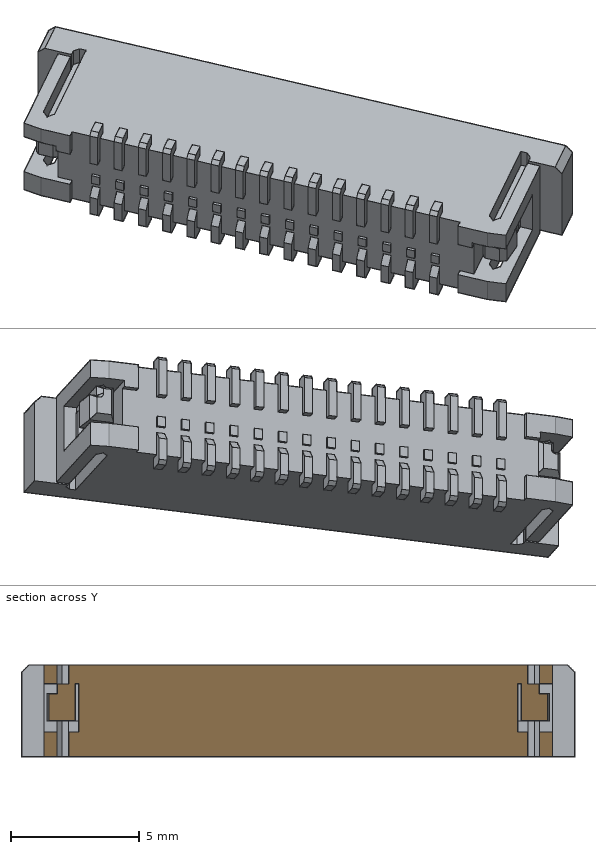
import cadquery as cq
import math


length = 21.6
height = 3.59
flange_depth = 1.3
flange_chamfer = 0.28
body_inset = 0.86
body_front = 5.45

ear_front = 5.68
ear_width = 1.95
ear_bevel_width = 0.73
ear_bevel_depth = 0.1
upper_ear_bottom = 2.6

slot_inset = 1.38
slot_width = 0.45
slot_rear = 0.89
slot_corner = 0.2
slot_front = 4.7
slot_tip = 4.95
gap_width = 0.13

window_inner = 2.22
window_rear = 2.33
window_bottom = 0.97
window_top = 2.85

arm_bottom = 1.4
arm_inner = 2.1
wing_top = 2.46
wing_rear = 3.85
wing_rear_inset = 1.0
wing_front_inset = 1.1
nose_base = 4.75
nose_front = 5.08
nose_taper = 0.2
bump_inset = 1.23
bump_rear = 2.4
bump_flat_rear = 2.7
bump_flat_front = 2.95
bump_front = 3.1

tail_count = 15
row_length = 14.0
tail_pitch = row_length / (tail_count - 1)
tail_width = 0.32
tail_front = 5.75
tail_rear = 5.08
tail_rise = 0.45
tail_chamfer = 0.15
upper_tail_bottom = 2.42
lower_tail_shoulder = 0.58
lower_tail_top = 0.93
pad_bottom = 1.17
pad_top = 1.58
pad_front = 5.55

left_end = -length / 2


def left_block(inset_a, inset_b, depth_a, depth_b, z_a, z_b):
    """Box near the left end, given by insets from that end, depths and heights."""
    size = (inset_b - inset_a, depth_b - depth_a, z_b - z_a)
    return cq.Workplane("XY").box(*size, centered=False).translate((left_end + inset_a, -depth_b, z_a))


def left_prism(points, z_a, z_b):
    """Upright prism near the left end from (inset, depth) plan points."""
    plan = [(left_end + inset, -depth) for inset, depth in points]
    return cq.Workplane("XY").workplane(offset=z_a).polyline(plan).close().extrude(z_b - z_a)


def with_mirror(solid):
    """The left-hand feature together with its right-hand twin."""
    return solid.union(solid.mirror("YZ"))


def make_housing():
    flange = (
        cq.Workplane("XY")
        .box(length, flange_depth, height, centered=False)
        .translate((left_end, -flange_depth, 0))
        .edges("|Y and >Z")
        .chamfer(flange_chamfer)
    )
    body = left_block(body_inset, length - body_inset, 0, body_front, 0, height)
    return flange.union(body)


def make_ear():
    ear_inner = body_inset + ear_width
    ear = left_prism(
        [
            (body_inset, slot_tip),
            (body_inset, ear_front - ear_bevel_depth),
            (body_inset + ear_bevel_width, ear_front),
            (ear_inner, ear_front),
            (ear_inner, slot_tip),
        ],
        0,
        height,
    )
    opening = left_block(0, ear_inner, body_front, ear_front, window_bottom, upper_ear_bottom)
    return ear.cut(opening)


def make_slot():
    slot_inner = slot_inset + slot_width
    return left_prism(
        [
            (slot_inset, slot_rear + slot_corner),
            (slot_inset + slot_corner, slot_rear),
            (slot_inner, slot_rear),
            (slot_inner, slot_front),
            (slot_inset + slot_width / 2, slot_tip),
            (slot_inset, slot_front),
        ],
        0,
        height,
    )


def make_latch_arm():
    strip = make_slot().intersect(left_block(0, window_inner, 0, nose_base, arm_bottom, window_top))
    root = left_block(slot_inset, window_inner, window_rear, wing_rear, arm_bottom, window_top)
    tongue = left_block(slot_inset, arm_inner, wing_rear, nose_base, arm_bottom, window_top)
    wing = left_prism(
        [
            (slot_inset, wing_rear),
            (wing_rear_inset, wing_rear),
            (wing_front_inset, nose_base),
            (slot_inset, nose_base),
        ],
        arm_bottom,
        wing_top,
    )
    bump = left_prism(
        [
            (slot_inset, bump_rear),
            (bump_inset, bump_flat_rear),
            (bump_inset, bump_flat_front),
            (slot_inset, bump_front),
        ],
        arm_bottom,
        wing_top,
    )
    nose_outline = [
        (left_end + wing_front_inset, arm_bottom),
        (left_end + arm_inner, arm_bottom),
        (left_end + arm_inner, window_top),
        (left_end + slot_inset, window_top),
        (left_end + slot_inset, wing_top),
        (left_end + wing_front_inset, wing_top),
    ]
    nose_length = nose_front - nose_base
    nose = (
        cq.Workplane("XZ", origin=(0, -nose_base, 0))
        .polyline(nose_outline)
        .close()
        .extrude(nose_length, taper=math.degrees(math.atan2(nose_taper, nose_length)))
    )
    return strip.union(root).union(tongue).union(wing).union(bump).union(nose)


def tail_profile(points):
    """Tail-width plate from (depth, height) points, centred on X = 0."""
    side = [(-depth, z) for depth, z in points]
    return cq.Workplane("YZ").polyline(side).close().extrude(tail_width / 2, both=True)


def make_contact():
    tail_top = height + tail_rise
    upper = tail_profile(
        [
            (tail_rear, height),
            (tail_rear, tail_top),
            (tail_front - tail_chamfer, tail_top),
            (tail_front, tail_top - tail_chamfer),
            (tail_front, upper_tail_bottom),
            (body_front, upper_tail_bottom),
            (body_front, height),
        ]
    )
    lower = tail_profile(
        [
            (tail_rear, 0),
            (tail_rear, -tail_rise),
            (tail_front - tail_chamfer, -tail_rise),
            (tail_front, tail_chamfer - tail_rise),
            (tail_front, lower_tail_shoulder),
            (body_front, lower_tail_top),
            (body_front, 0),
        ]
    )
    pad = tail_profile(
        [(body_front, pad_bottom), (pad_front, pad_bottom), (pad_front, pad_top), (body_front, pad_top)]
    )
    return [upper, lower, pad]


gap = left_block(0, slot_inset, flange_depth, flange_depth + gap_width, 0, height)
window = left_block(0, window_inner, window_rear, ear_front, window_bottom, window_top)

result = (
    make_housing()
    .union(with_mirror(make_ear()))
    .cut(with_mirror(make_slot()))
    .cut(with_mirror(gap))
    .cut(with_mirror(window))
    .union(with_mirror(make_latch_arm()))
)

contact_parts = make_contact()
for index in range(tail_count):
    tail_x = index * tail_pitch - row_length / 2
    for contact_part in contact_parts:
        result = result.union(contact_part.translate((tail_x, 0, 0)))